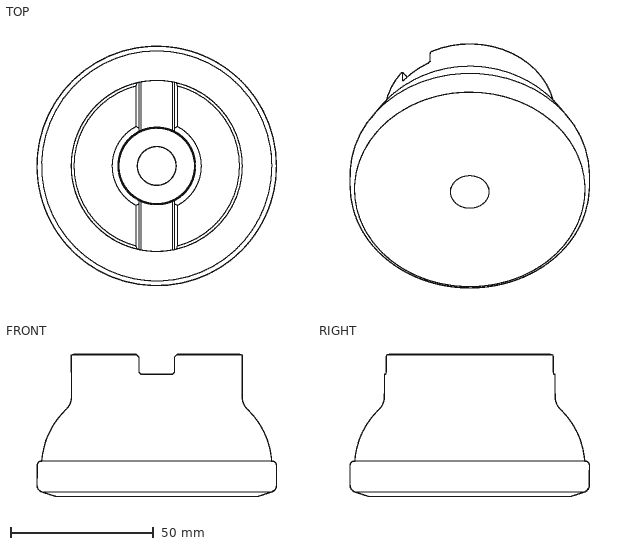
import cadquery as cq
import math

height = 50.0
ring_diameter = 84.0

seat_diameter = 80.8
base_diameter = 70.55
base_cone_angle = 18.0
dome_center_z = 10.7
dome_radius = 27.55
dome_end_angle = 45.0
cone_width = 0.75
hub_diameter = 60.0
cove_end_z = 30.9
cove_start_z = 34.9
rim_chamfer_width = 1.0
rim_chamfer_height = 0.3

bolt_hole_diameter = 13.5
bore_diameter = 27.05
bore_depth = 25.2
relief_diameter = 27.5
relief_start_depth = 19.8
bore_floor_chamfer = 0.5
bore_mouth_diameter = 31.25

slot_width = 12.4
slot_depth = 7.0
slot_mouth_chamfer = 1.0
slot_floor_chamfer = 0.7

ring_top_z = 12.5
ring_top_round = 1.5
ring_bottom_round = 2.5

seat_radius = seat_diameter / 2
base_radius = base_diameter / 2
hub_radius = hub_diameter / 2
ring_radius = ring_diameter / 2
bore_floor_z = height - bore_depth
relief_start_z = height - relief_start_depth
base_slope = math.tan(math.radians(base_cone_angle))


def base_cone_z(radius):
    """Height of the conical underside at a given radius."""
    return (radius - base_radius) * base_slope


def dome_point(angle):
    """Point (radius, z) on the dome arc, the angle measured up from horizontal."""
    a = math.radians(angle)
    return (
        seat_radius - dome_radius + dome_radius * math.cos(a),
        dome_center_z + dome_radius * math.sin(a),
    )


def cove_middle(end_radius):
    """Middle point of the neck arc, which leaves the hub wall tangentially."""
    run = end_radius - hub_radius
    drop = cove_start_z - cove_end_z
    radius = (run**2 + drop**2) / (2 * run)
    half_angle = math.asin(drop / radius) / 2
    return (
        hub_radius + radius * (1 - math.cos(half_angle)),
        cove_start_z - radius * math.sin(half_angle),
    )


def revolve_about_z(profile):
    return profile.close().revolve(360, (0, 0, 0), (0, 1, 0))


def make_body_blank():
    dome_top = dome_point(dome_end_angle)
    cove_end_radius = dome_top[0] - cone_width
    profile = (
        cq.Workplane("XZ")
        .lineTo(base_radius, 0)
        .lineTo(seat_radius, base_cone_z(seat_radius))
        .lineTo(seat_radius, dome_center_z)
        .threePointArc(dome_point(dome_end_angle / 2), dome_top)
        .lineTo(cove_end_radius, cove_end_z)
        .threePointArc(cove_middle(cove_end_radius), (hub_radius, cove_start_z))
        .lineTo(hub_radius, height - rim_chamfer_height)
        .lineTo(hub_radius - rim_chamfer_width, height)
        .lineTo(0, height)
    )
    return revolve_about_z(profile)


def make_bore():
    bolt_radius = bolt_hole_diameter / 2
    bore_radius = bore_diameter / 2
    relief_radius = relief_diameter / 2
    mouth_radius = bore_mouth_diameter / 2
    profile = (
        cq.Workplane("XZ")
        .lineTo(bolt_radius, 0)
        .lineTo(bolt_radius, bore_floor_z)
        .lineTo(relief_radius - bore_floor_chamfer, bore_floor_z)
        .lineTo(relief_radius, bore_floor_z + bore_floor_chamfer)
        .lineTo(relief_radius, relief_start_z)
        .lineTo(bore_radius, relief_start_z)
        .lineTo(bore_radius, height - (mouth_radius - bore_radius))
        .lineTo(mouth_radius, height)
        .lineTo(0, height)
    )
    return revolve_about_z(profile)


def make_slot():
    half = slot_width / 2
    floor_z = height - slot_depth
    right_side = [
        (half - slot_floor_chamfer, floor_z),
        (half, floor_z + slot_floor_chamfer),
        (half, height - slot_mouth_chamfer),
        (half + slot_mouth_chamfer, height),
    ]
    left_side = [(-x, z) for x, z in reversed(right_side)]
    outline = cq.Workplane("XZ").polyline(right_side + left_side).close()
    return outline.extrude(hub_radius, both=True)


def make_ring(body_blank):
    outer = (
        cq.Workplane("XZ")
        .lineTo(base_radius, 0)
        .lineTo(ring_radius, base_cone_z(ring_radius))
        .lineTo(ring_radius, ring_top_z)
        .lineTo(0, ring_top_z)
    )
    disc = revolve_about_z(outer)
    disc = disc.edges("%CIRCLE").edges(">>Z[-2]").fillet(ring_bottom_round)
    disc = disc.faces(">Z").edges().fillet(ring_top_round)
    return disc.cut(body_blank)


body_blank = make_body_blank()
cutter_body = body_blank.cut(make_bore()).cut(make_slot())
ring = make_ring(body_blank)

result = cq.Compound.makeCompound([cutter_body.val(), ring.val()])